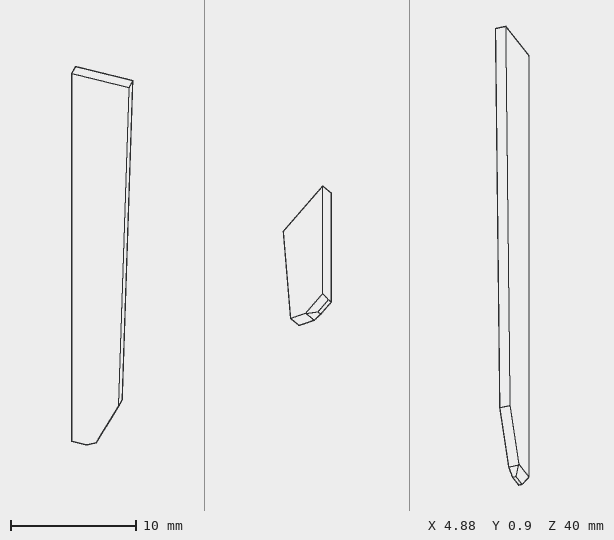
import cadquery as cq

length = 40.0
butt_width = 4.88
thickness = 0.9

shoulder_width = 3.98
shoulder_height = 5.0
nose_width = 2.1
nose_height = 0.5
tip_width = 1.3

tip_land = 0.3
bevel_height = 0.55


def blade():
    """Flat blade with a straight edge at X = 0 and its front face at Y = 0."""
    outline = [
        (0, 0),
        (tip_width, 0),
        (nose_width, nose_height),
        (shoulder_width, shoulder_height),
        (butt_width, length),
        (0, length),
    ]
    return cq.Workplane("XZ").polyline(outline).close().extrude(-thickness)


def tip_bevel():
    """Wedge that thins the tip from its back face, across the full width."""
    profile = [
        (tip_land, 0),
        (thickness, 0),
        (thickness, bevel_height),
    ]
    return cq.Workplane("YZ").polyline(profile).close().extrude(butt_width)


result = blade().cut(tip_bevel())